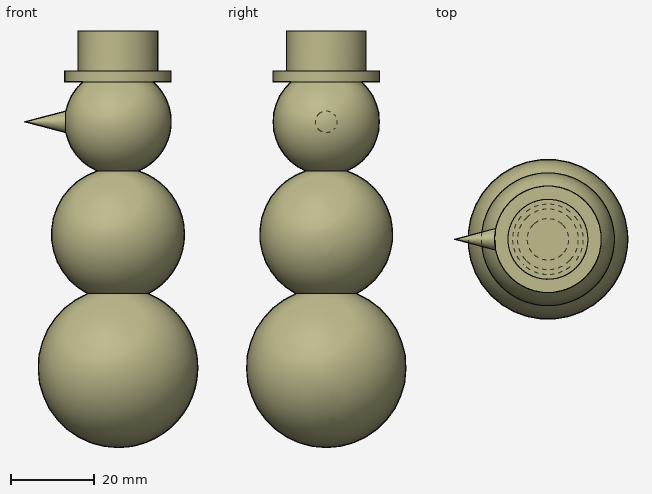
import cadquery as cq

base_radius = 19.1
body_radius = 15.9
head_radius = 12.7
base_to_body = 31.8
body_to_head = 26.8
base_center = base_radius
body_center = base_center + base_to_body
head_center = body_center + body_to_head

total_height = 99.3
brim_radius = head_radius
brim_thickness = 2.6
crown_radius = 9.5
crown_height = 9.5
brim_bottom = total_height - crown_height - brim_thickness

nose_radius = 2.6
nose_tip_reach = 22.2
nose_base_reach = 12.4


def ball(radius, center_height):
    return cq.Workplane("XY").sphere(radius).translate((0, 0, center_height))


def hat():
    brim = cq.Workplane("XY").workplane(offset=brim_bottom).circle(brim_radius).extrude(brim_thickness)
    return brim.faces(">Z").workplane().circle(crown_radius).extrude(crown_height)


def nose():
    profile = (
        cq.Workplane("XY", origin=(0, 0, head_center))
        .moveTo(-nose_tip_reach, 0)
        .lineTo(-nose_base_reach, 0)
        .lineTo(-nose_base_reach, nose_radius)
        .close()
    )
    return profile.revolve(360, (0, 0, 0), (1, 0, 0))


result = (
    ball(base_radius, base_center)
    .union(ball(body_radius, body_center))
    .union(ball(head_radius, head_center))
    .union(hat())
    .union(nose())
)